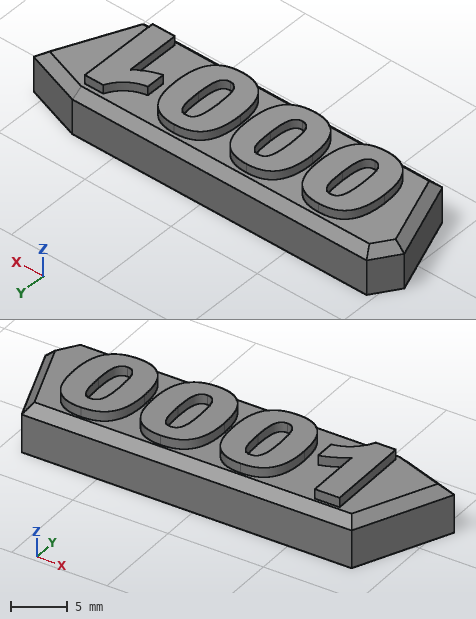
import cadquery as cq

total_height = 6.0
digit_height = total_height / 6
base_height = total_height - digit_height
rim_chamfer = digit_height

base_length = 42.55
base_width = 12.0
front_left_x = 3.35
front_right_x = 38.0
back_left_x = 1.95
back_right_x = 36.15
left_tip_y = 9.15
right_tip_y = 9.75

digit_middle_y = 5.9

zero_count = 3
zero_pitch = 8.4
first_zero_x = 8.75
zero_width = 7.4
zero_depth = 9.35
zero_hole_width = 2.35
zero_hole_depth = 6.0
ring_fullness = 0.69
hole_fullness = 0.74

one_depth = 9.25
stem_right_x = 35.9
stem_width = 2.6
stem_top_width = 2.13
flag_left_x = 30.65
flag_tip_drop = 2.4
flag_tip_height = 2.13
flag_root_drop = 3.2
flag_top_diameter = 8.2
flag_bottom_diameter = 15.32


def make_base():
    outline = [
        (front_left_x, 0),
        (front_right_x, 0),
        (base_length, right_tip_y),
        (back_right_x, base_width),
        (back_left_x, base_width),
        (0, left_tip_y),
    ]
    block = cq.Workplane("XY").polyline(outline).close().extrude(base_height)
    return block.faces(">Z").edges().chamfer(rim_chamfer)


def make_oval_prism(center_x, width, depth, fullness):
    """Squarish oval standing on the base, drawn as one smooth curve per quarter."""
    a = width / 2
    b = depth / 2
    handle_x = a * fullness
    handle_y = b * fullness
    oval = (
        cq.Workplane("XY", origin=(center_x, digit_middle_y, base_height))
        .moveTo(a, 0)
        .bezier([(a, 0), (a, handle_y), (handle_x, b), (0, b)])
        .bezier([(0, b), (-handle_x, b), (-a, handle_y), (-a, 0)])
        .bezier([(-a, 0), (-a, -handle_y), (-handle_x, -b), (0, -b)])
        .bezier([(0, -b), (handle_x, -b), (a, -handle_y), (a, 0)])
        .close()
    )
    return oval.extrude(digit_height)


def make_zero(center_x):
    ring = make_oval_prism(center_x, zero_width, zero_depth, ring_fullness)
    hole = make_oval_prism(center_x, zero_hole_width, zero_hole_depth, hole_fullness)
    return ring.cut(hole)


def make_one():
    bottom_y = digit_middle_y - one_depth / 2
    top_y = digit_middle_y + one_depth / 2
    stem_left_x = stem_right_x - stem_width
    flag_tip_y = top_y - flag_tip_drop
    return (
        cq.Workplane("XY", origin=(0, 0, base_height))
        .moveTo(stem_left_x, bottom_y)
        .lineTo(stem_right_x, bottom_y)
        .lineTo(stem_right_x, top_y)
        .lineTo(stem_right_x - stem_top_width, top_y)
        .radiusArc((flag_left_x, flag_tip_y), flag_top_diameter / 2)
        .lineTo(flag_left_x, flag_tip_y - flag_tip_height)
        .radiusArc((stem_left_x, top_y - flag_root_drop), -flag_bottom_diameter / 2)
        .close()
        .extrude(digit_height)
    )


base = make_base()
zeros = [make_zero(first_zero_x + index * zero_pitch) for index in range(zero_count)]
one = make_one()

result = cq.Compound.makeCompound([base.val(), *[zero.val() for zero in zeros], one.val()])